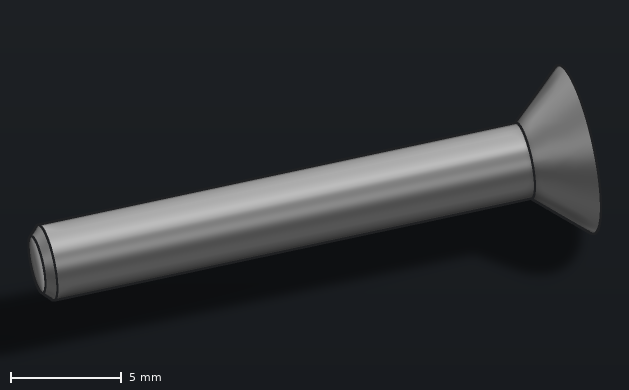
import cadquery as cq

total_length = 25.4
head_diameter = 7.8
head_height = 2.46
shank_diameter = 3.5
tip_chamfer = 0.43

head_radius = head_diameter / 2
shank_radius = shank_diameter / 2

half_profile = (
    cq.Workplane("XY")
    .polyline([
        (0, 0),
        (head_radius, 0),
        (shank_radius, -head_height),
        (shank_radius, -total_length + tip_chamfer),
        (shank_radius - tip_chamfer, -total_length),
        (0, -total_length),
    ])
    .close()
)

result = half_profile.revolve(360, (0, 0, 0), (0, 1, 0))